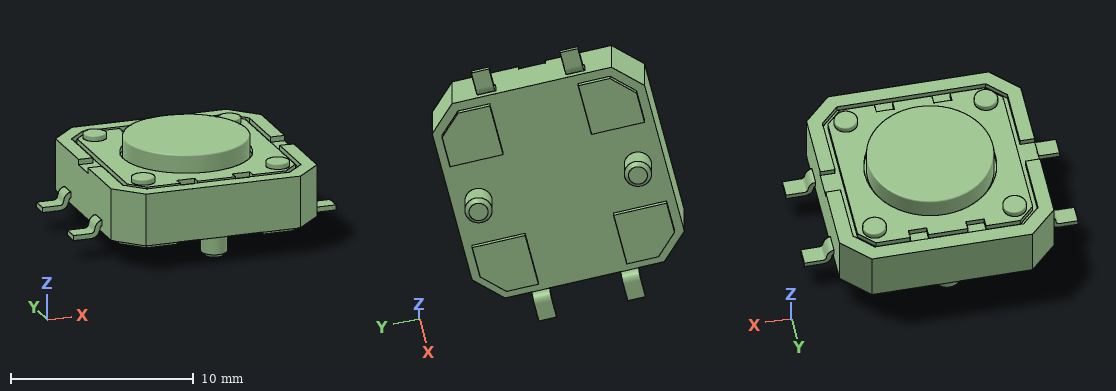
import cadquery as cq
import math

BODY_SIDE = 12.0
BODY_CORNER = 1.5
BODY_HEIGHT = 3.0

RECESS_INSET = 0.83
PLATE_INSET = 1.1
RECESS_DEPTH = 0.3
CHANNEL_WIDTH = 1.5
NOTCH_WIDTH = 1.01
NOTCH_DEPTH = 0.5
NOTCH_OFFSET = 1.6
WELL_DIAMETER = 7.28

BUTTON_DIAMETER = 7.0
BUTTON_RISE = 1.0
BUTTON_FILLET = 0.09
RIVET_DIAMETER = 1.3
RIVET_RISE = 0.3
RIVET_FILLET = 0.08
RIVET_OFFSET = 3.92

FOOT_INSET = 0.5
FOOT_SIDE = 3.0
FOOT_HEIGHT = 0.3
PEG_DIAMETER = 1.5
PEG_LENGTH = 1.5
PEG_CHAMFER = 0.23
PEG_OFFSET = 4.5

LEAD_SPAN = 15.3
LEAD_WIDTH = 1.01
LEAD_THICKNESS = 0.3
LEAD_OFFSET = 2.51
LEAD_TOP = 0.72
LEAD_FLAT_LENGTH = 1.03
BEND_INNER_RADIUS = 0.2
BEND_ANGLE = math.radians(77)

BODY_HALF = BODY_SIDE / 2
FLOOR_Z = BODY_HEIGHT - RECESS_DEPTH


def octagon_prism(inset, bottom, height):
    """Prism whose outline is the housing outline moved evenly inward by inset."""
    side = BODY_SIDE - 2 * inset
    corner = BODY_CORNER - inset * (2 - math.sqrt(2))
    block = cq.Workplane("XY").workplane(offset=bottom).rect(side, side).extrude(height)
    return block.edges("|Z").chamfer(corner)


def box(x_size, y_size, z_size, center_x, center_y, bottom):
    solid = cq.Workplane("XY").box(x_size, y_size, z_size, centered=(True, True, False))
    return solid.translate((center_x, center_y, bottom))


def cylinder(diameter, bottom, height):
    return cq.Workplane("XY").workplane(offset=bottom).circle(diameter / 2).extrude(height)


def make_housing():
    housing = octagon_prism(0, 0, BODY_HEIGHT)
    housing = housing.cut(octagon_prism(RECESS_INSET, FLOOR_Z, RECESS_DEPTH))
    return housing.cut(box(BODY_SIDE, CHANNEL_WIDTH, RECESS_DEPTH, 0, 0, FLOOR_Z))


def make_plate():
    plate = octagon_prism(PLATE_INSET, FLOOR_Z, RECESS_DEPTH)
    notch_y = BODY_HALF - PLATE_INSET - NOTCH_DEPTH / 2
    for x in (-NOTCH_OFFSET, NOTCH_OFFSET):
        for y in (-notch_y, notch_y):
            plate = plate.cut(box(NOTCH_WIDTH, NOTCH_DEPTH, RECESS_DEPTH, x, y, FLOOR_Z))
    return plate.cut(cylinder(WELL_DIAMETER, FLOOR_Z, RECESS_DEPTH))


def make_button():
    button = cylinder(BUTTON_DIAMETER, FLOOR_Z, RECESS_DEPTH + BUTTON_RISE)
    return button.faces(">Z").edges().fillet(BUTTON_FILLET)


def make_rivet(x, y):
    rivet = cylinder(RIVET_DIAMETER, BODY_HEIGHT, RIVET_RISE)
    return rivet.faces(">Z").edges().fillet(RIVET_FILLET).translate((x, y, 0))


def make_feet():
    """Four square pads sharing the chamfered outline of the housing."""
    slab = octagon_prism(FOOT_INSET, -FOOT_HEIGHT, FOOT_HEIGHT)
    gap = BODY_SIDE - 2 * FOOT_INSET - 2 * FOOT_SIDE
    slab = slab.cut(box(gap, BODY_SIDE, FOOT_HEIGHT, 0, 0, -FOOT_HEIGHT))
    return slab.cut(box(BODY_SIDE, gap, FOOT_HEIGHT, 0, 0, -FOOT_HEIGHT))


def make_peg(y):
    peg = cylinder(PEG_DIAMETER, -PEG_LENGTH, PEG_LENGTH)
    return peg.faces("<Z").edges().chamfer(PEG_CHAMFER).translate((0, y, 0))


def make_right_lead(y):
    """Lead on the +X side that leaves the wall, bends down and runs flat out to its tip."""
    inner = BEND_INNER_RADIUS
    outer = inner + LEAD_THICKNESS
    middle = inner + LEAD_THICKNESS / 2
    lead_bottom = -FOOT_HEIGHT
    upper_z = LEAD_TOP - outer
    lower_z = lead_bottom + outer
    slope = (upper_z - lower_z + 2 * middle * math.cos(BEND_ANGLE)) / math.sin(BEND_ANGLE)
    tip = LEAD_SPAN / 2
    lower_x = tip - LEAD_FLAT_LENGTH
    upper_x = lower_x - 2 * middle * math.sin(BEND_ANGLE) - slope * math.cos(BEND_ANGLE)

    def upper(radius, angle):
        return (upper_x + radius * math.sin(angle), upper_z + radius * math.cos(angle))

    def lower(radius, angle):
        return (lower_x - radius * math.sin(angle), lower_z - radius * math.cos(angle))

    half = BEND_ANGLE / 2
    profile = (
        cq.Workplane("XZ")
        .moveTo(*upper(outer, 0))
        .threePointArc(upper(outer, half), upper(outer, BEND_ANGLE))
        .lineTo(*lower(inner, BEND_ANGLE))
        .threePointArc(lower(inner, half), lower(inner, 0))
        .lineTo(tip, lead_bottom + LEAD_THICKNESS)
        .lineTo(tip, lead_bottom)
        .lineTo(*lower(outer, 0))
        .threePointArc(lower(outer, half), lower(outer, BEND_ANGLE))
        .lineTo(*upper(inner, BEND_ANGLE))
        .threePointArc(upper(inner, half), upper(inner, 0))
        .close()
    )
    return profile.extrude(LEAD_WIDTH / 2, both=True).translate((0, y, 0))


result = make_housing().union(make_plate()).union(make_button()).union(make_feet())

for rivet_x in (-RIVET_OFFSET, RIVET_OFFSET):
    for rivet_y in (-RIVET_OFFSET, RIVET_OFFSET):
        result = result.union(make_rivet(rivet_x, rivet_y))

for peg_y in (-PEG_OFFSET, PEG_OFFSET):
    result = result.union(make_peg(peg_y))

for lead_y in (-LEAD_OFFSET, LEAD_OFFSET):
    right_lead = make_right_lead(lead_y)
    result = result.union(right_lead).union(right_lead.mirror("YZ"))